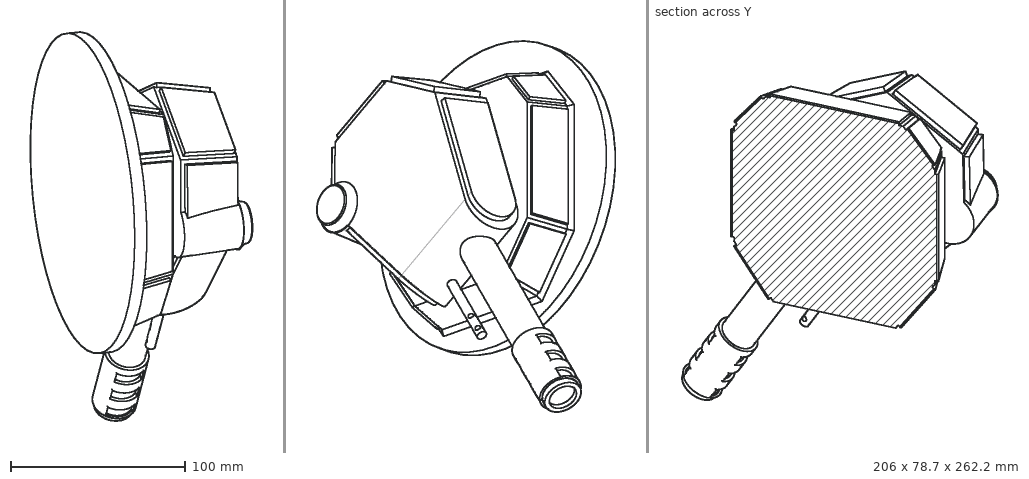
import cadquery as cq
import math

PLATE_RADIUS = 92.3
PLATE_THICKNESS = 7.3

BOSS_HALF_WIDTH = 63.2
BOSS_SIDE_HALF = 37.8
BOSS_UPPER_Z = 62.2
BOSS_UPPER_HALF = 43.3
BOSS_LOWER_Z = -72.0
BOSS_LOWER_HALF = 38.5
BOSS_TAPER = 15
FOOT_CHAMFER = 3.0
BOSS_PANEL_THICKNESS = 2.0
BOSS_PANEL_SIDE_MARGIN = 2.5
BOSS_PANEL_LOW_MARGIN = 0.3
BOSS_PANEL_HIGH_MARGIN = 2.0

SPLIT_Y = 35.7
HEAD_THICKNESS = 36.5
HEAD_ANGLE = 32.3
HEAD_AXIS_X = 11.0
HEAD_TOP_Z = 68.2
HEAD_TOP_HALF = 28.0
SHOULDER_Z = 27.0
SHOULDER_HALF = 55.3
HEAD_TAIL_Z = -74.0
HEAD_TAIL_HALF = 31.2
HEAD_ROUND_Z = -66.3
HEAD_TAPER = 10
HEAD_PANEL_THICKNESS = 3.1
HEAD_PANEL_SIDE_MARGIN = 2.5
HEAD_PANEL_LOW_MARGIN = 2.5
HEAD_PANEL_HIGH_MARGIN = 1.3
LONG_PANEL_MARGIN = 3.0
LONG_PANEL_END_MARGIN = 5.8

HUB_X = 55.0
HUB_Z = 25.7
BARREL_LOW_RADIUS = 16.3
BARREL_HIGH_RADIUS = 14.7
HUB_RADIUS = 12.0
HUB_HEIGHT = 6.5
HUB_FLARE = 3.1
HUB_FLARE_MIDDLE = 0.8
HUB_EDGE_CHAMFER = 0.8

HANDLE_X = -0.5
HANDLE_Y = 54.3
HANDLE_RADIUS = 10.8
GRIP_RADIUS = 12.8
GRIP_START_Z = -148.0
GRIP_LENGTH = 42.2
END_CAP_LENGTH = 4.0
END_CAP_RADIUS = 11.3
END_RECESS_RADIUS = 8.5
END_RECESS_DEPTH = 3.1
NOTCH_COUNT = 3
NOTCH_FIRST = 5.2
NOTCH_LENGTH = 7.3
NOTCH_PITCH = 14.7
NOTCH_HALF_WIDTH = 8.0

PIN_X = 25.5
PIN_RADIUS = 3.0
PIN_END_Z = -111.7
PIN_HOLE_RADIUS = 1.45
PIN_HOLE_OFFSET = 1.3
PIN_HOLE_END_DISTANCES = (4.2, 14.7)

HEAD_BACK_Y = SPLIT_Y + HEAD_THICKNESS
HEAD_MID_Y = SPLIT_Y + HEAD_THICKNESS / 2
BOSS_FOOT_Y = PLATE_THICKNESS + FOOT_CHAMFER
GRIP_END_Z = GRIP_START_Z - GRIP_LENGTH
HANDLE_END_Z = GRIP_END_Z - END_CAP_LENGTH


def grown(outline, distance):
    """Clockwise (x, z) outline with every side moved outward by distance."""
    corners = []
    for i, (x, z) in enumerate(outline):
        before = outline[i - 1]
        after = outline[(i + 1) % len(outline)]
        angle_in = math.atan2(z - before[1], x - before[0])
        angle_out = math.atan2(after[1] - z, after[0] - x)
        reach = distance / math.cos((angle_out - angle_in) / 2)
        direction = (angle_in + angle_out) / 2 + math.pi / 2
        corners.append((x + reach * math.cos(direction), z + reach * math.sin(direction)))
    return corners


def tapered_outline(outline, rise, taper):
    """The outline of a tapered block at a height above its foot."""
    return grown(outline, -rise * math.tan(math.radians(taper)))


def at_y(outline, y):
    return [cq.Vector(x, y, z) for x, z in outline]


def block_between(low_outline, low_y, high_outline, high_y):
    """Straight-sided block joining two outlines at two Y positions."""
    low_wire = cq.Wire.makePolygon(at_y(low_outline, low_y), close=True)
    high_wire = cq.Wire.makePolygon(at_y(high_outline, high_y), close=True)
    return cq.Workplane(cq.Solid.makeLoft([low_wire, high_wire], True))


def raised_panel(low_edge, high_edge, start_margin, end_margin, thickness):
    """Flat panel on a sloping side, between a lower and an upper edge of that side."""
    along = (low_edge[1] - low_edge[0]).normalized()
    outward = along.cross(high_edge[0] - low_edge[0]).normalized()
    side = cq.Plane(origin=low_edge[0], xDir=along, normal=outward)
    corners = [
        low_edge[0] + along * start_margin,
        low_edge[1] - along * end_margin,
        high_edge[1] - along * end_margin,
        high_edge[0] + along * start_margin,
    ]
    points = [side.toLocalCoords(corner).toTuple()[:2] for corner in corners]
    return cq.Workplane(side).polyline(points).close().extrude(thickness)


def side_edge(outline, index, y):
    """One edge of an outline, placed at a Y position."""
    corners = at_y(outline, y)
    return corners[index], corners[(index + 1) % len(corners)]


def boss_outline():
    """Clockwise, ending with the plain side that faces -Z."""
    return [
        (-BOSS_LOWER_HALF, BOSS_LOWER_Z),
        (-BOSS_HALF_WIDTH, -BOSS_SIDE_HALF),
        (-BOSS_HALF_WIDTH, BOSS_SIDE_HALF),
        (-BOSS_UPPER_HALF, BOSS_UPPER_Z),
        (BOSS_UPPER_HALF, BOSS_UPPER_Z),
        (BOSS_HALF_WIDTH, BOSS_SIDE_HALF),
        (BOSS_HALF_WIDTH, -BOSS_SIDE_HALF),
        (BOSS_LOWER_HALF, BOSS_LOWER_Z),
    ]


def boss_outline_at(y):
    return tapered_outline(boss_outline(), y - BOSS_FOOT_Y, BOSS_TAPER)


def make_base():
    foot = boss_outline()
    plate = cq.Workplane("XZ").circle(PLATE_RADIUS).extrude(-PLATE_THICKNESS)
    chamfer = block_between(grown(foot, FOOT_CHAMFER), PLATE_THICKNESS, foot, BOSS_FOOT_Y)
    boss = block_between(foot, BOSS_FOOT_Y, boss_outline_at(SPLIT_Y), SPLIT_Y)
    base = plate.union(chamfer).union(boss)

    low_y = BOSS_FOOT_Y + BOSS_PANEL_LOW_MARGIN
    high_y = SPLIT_Y - BOSS_PANEL_HIGH_MARGIN
    for index in range(len(foot) - 1):
        panel = raised_panel(
            side_edge(boss_outline_at(low_y), index, low_y),
            side_edge(boss_outline_at(high_y), index, high_y),
            BOSS_PANEL_SIDE_MARGIN,
            BOSS_PANEL_SIDE_MARGIN,
            BOSS_PANEL_THICKNESS,
        )
        base = base.union(panel)
    return base


def head_outline():
    """Clockwise from the tail corner on the handle side."""
    left_half = [
        (-HEAD_TAIL_HALF, HEAD_TAIL_Z),
        (-SHOULDER_HALF, SHOULDER_Z),
        (-HEAD_TOP_HALF, HEAD_TOP_Z),
    ]
    right_half = [(-x, z) for x, z in reversed(left_half)]
    return [(x + HEAD_AXIS_X, z) for x, z in left_half + right_half]


def head_outline_at(y):
    return tapered_outline(head_outline(), y - SPLIT_Y, HEAD_TAPER)


def tail_envelope(inset, end_z):
    """Prism along X with a full round at its lower end, inset from both faces of the head."""
    radius = HEAD_THICKNESS / 2 - inset
    round_z = end_z + radius
    low_y = HEAD_MID_Y - radius
    high_y = HEAD_MID_Y + radius
    upper_z = HEAD_TOP_Z + HEAD_PANEL_THICKNESS
    reach = 2 * SHOULDER_HALF
    return (
        cq.Workplane("YZ")
        .moveTo(low_y, upper_z)
        .lineTo(low_y, round_z)
        .threePointArc((HEAD_MID_Y, end_z), (high_y, round_z))
        .lineTo(high_y, upper_z)
        .close()
        .extrude(reach, both=True)
    )


def add_short_panels(head):
    """Panels on the top side and the two shoulder sides."""
    low_y = SPLIT_Y + HEAD_PANEL_LOW_MARGIN
    high_y = HEAD_BACK_Y - HEAD_PANEL_HIGH_MARGIN
    for index in (1, 2, 3):
        panel = raised_panel(
            side_edge(head_outline_at(low_y), index, low_y),
            side_edge(head_outline_at(high_y), index, high_y),
            HEAD_PANEL_SIDE_MARGIN,
            HEAD_PANEL_SIDE_MARGIN,
            HEAD_PANEL_THICKNESS,
        )
        head = head.union(panel)
    return head


def add_long_panels(head):
    """Panels on the two long sides, rounded like the tail of the head."""
    envelope = tail_envelope(LONG_PANEL_MARGIN, HEAD_ROUND_Z + LONG_PANEL_END_MARGIN)
    for index, start_margin, end_margin in (
        (0, 0, LONG_PANEL_END_MARGIN),
        (4, LONG_PANEL_END_MARGIN, 0),
    ):
        panel = raised_panel(
            side_edge(head_outline_at(SPLIT_Y), index, SPLIT_Y),
            side_edge(head_outline_at(HEAD_BACK_Y), index, HEAD_BACK_Y),
            start_margin,
            end_margin,
            HEAD_PANEL_THICKNESS,
        )
        head = head.union(panel.intersect(envelope))
    return head


def make_hub():
    """Tapered pivot barrel through the head, with a flared hub on its back."""
    hub_y = HEAD_BACK_Y + HUB_HEIGHT
    edge_y = hub_y - HUB_EDGE_CHAMFER
    flare_middle = (HUB_RADIUS + HUB_FLARE_MIDDLE, (HEAD_BACK_Y + edge_y) / 2)
    profile = (
        cq.Workplane("XY")
        .moveTo(0, SPLIT_Y)
        .lineTo(BARREL_LOW_RADIUS, SPLIT_Y)
        .lineTo(BARREL_HIGH_RADIUS, HEAD_BACK_Y)
        .lineTo(HUB_RADIUS + HUB_FLARE, HEAD_BACK_Y)
        .threePointArc(flare_middle, (HUB_RADIUS, edge_y))
        .lineTo(HUB_RADIUS - HUB_EDGE_CHAMFER, hub_y)
        .lineTo(0, hub_y)
        .close()
    )
    return profile.revolve(360, (0, 0, 0), (0, 1, 0)).translate((HUB_X, 0, HUB_Z))


def rod(x, radius, start_z, end_z):
    """Round bar parallel to Z, at the Y position of the handle."""
    section = cq.Workplane("XY", origin=(x, HANDLE_Y, end_z)).circle(radius)
    return section.extrude(start_z - end_z)


def make_grip():
    """Sleeve with a row of notches on both sides."""
    grip = rod(HANDLE_X, GRIP_RADIUS, GRIP_START_Z, GRIP_END_Z)
    for i in range(NOTCH_COUNT):
        notch_z = GRIP_START_Z - NOTCH_FIRST - NOTCH_LENGTH / 2 - i * NOTCH_PITCH
        notch = cq.Workplane("XY").box(2 * GRIP_RADIUS, 2 * NOTCH_HALF_WIDTH, NOTCH_LENGTH)
        grip = grip.cut(notch.translate((HANDLE_X, HANDLE_Y, notch_z)))
    return grip


def make_handle():
    shaft = rod(HANDLE_X, HANDLE_RADIUS, 0, GRIP_END_Z)
    end_cap = rod(HANDLE_X, END_CAP_RADIUS, GRIP_END_Z, HANDLE_END_Z)
    recess = rod(HANDLE_X, END_RECESS_RADIUS, HANDLE_END_Z + END_RECESS_DEPTH, HANDLE_END_Z)
    return shaft.union(make_grip()).union(end_cap).cut(recess)


def make_release_pin():
    pin = rod(PIN_X, PIN_RADIUS, 0, PIN_END_Z)
    for distance in PIN_HOLE_END_DISTANCES:
        hole_place = (PIN_X - PIN_HOLE_OFFSET, 0, PIN_END_Z + distance)
        hole = cq.Workplane("XZ", origin=hole_place).circle(PIN_HOLE_RADIUS)
        pin = pin.cut(hole.extrude(-HEAD_BACK_Y))
    return pin


def make_head():
    head = block_between(head_outline(), SPLIT_Y, head_outline_at(HEAD_BACK_Y), HEAD_BACK_Y)
    head = head.intersect(tail_envelope(0, HEAD_ROUND_Z))
    head = add_short_panels(head)
    head = add_long_panels(head)
    head = head.union(make_hub()).union(make_handle()).union(make_release_pin())
    return head.rotate((0, 0, 0), (0, 1, 0), HEAD_ANGLE)


base = make_base()
head = make_head()
result = cq.Compound.makeCompound([base.val(), head.val()])